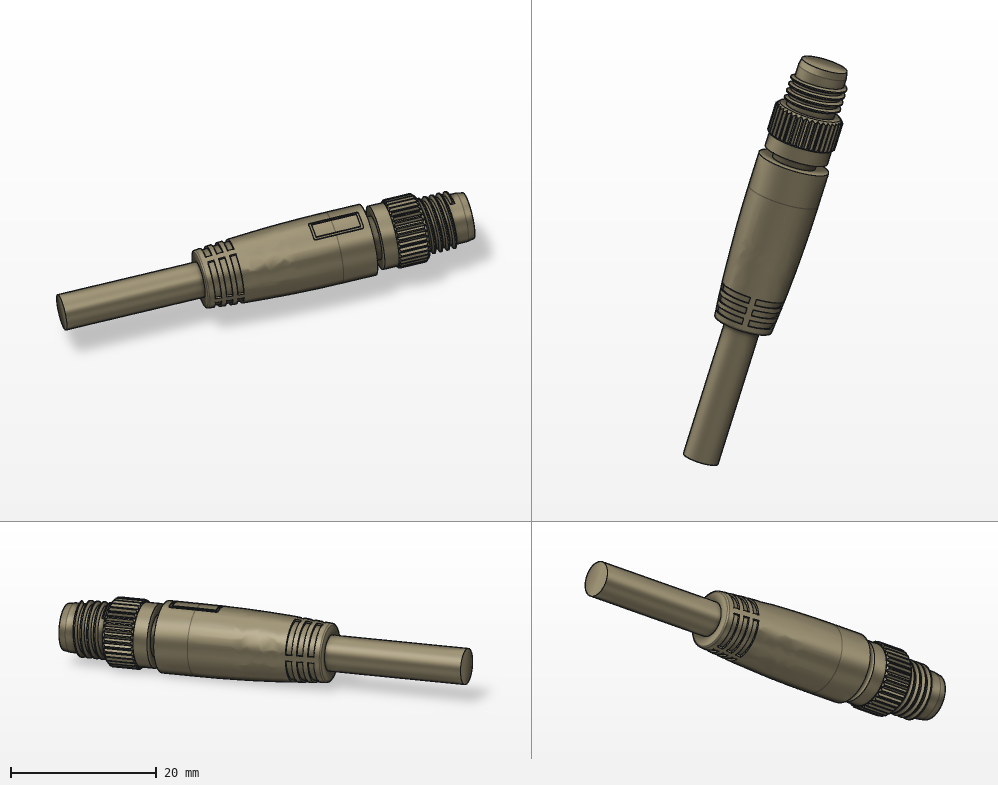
import cadquery as cq
import math

LENGTH = 58.2

BODY_REAR = 19.8
BODY_FRONT = 43.75
COLLAR_REAR = 44.95
KNURL_REAR = 46.95
KNURL_FRONT = 51.45
PLUG_CONE = LENGTH - 1.0

CABLE_RADIUS = 2.5
BODY_RADIUS = 5.0
BODY_REAR_RADIUS = 4.1
BODY_REAR_FILLET = 0.25
NECK_RADIUS = 3.1
COLLAR_RADIUS = 4.5
PLUG_RADIUS = 3.45
PLUG_TIP_RADIUS = 3.25

BODY_STRAIGHT = 4.9

KNURL_RADIUS = 4.85
KNURL_ROOT_RADIUS = 4.55
KNURL_FRONT_CHAMFER = 0.45
KNURL_REAR_CHAMFER = 0.3
TOOTH_COUNT = 36
TOOTH_PITCH = 360.0 / TOOTH_COUNT
TOOTH_TIP_SHARE = 0.2
TOOTH_ROOT_SHARE = 0.95

THREAD_RADIUS = 3.95
THREAD_PITCH = 1.0
THREAD_FULL_TURNS = 4
THREAD_EXTRA_ANGLE = 45.0
THREAD_FRONT = LENGTH - 2.2
THREAD_ROOT_WIDTH = 0.75
THREAD_CREST_WIDTH = 0.2

RELIEF_FIRST = BODY_REAR + 1.0
RELIEF_PITCH = 1.6
RELIEF_WIDTH = 0.9
RELIEF_COUNT = 3
RELIEF_DEPTH = 0.3
BAR_WIDTH = 0.9

FRAME_CENTER_Y = 39.3
FRAME_WIDTH = 2.9
FRAME_LENGTH = 7.1
FRAME_LINE = 0.35
FRAME_CORNER = 0.25
FRAME_DEPTH = 0.1

OVERLAP = 0.1


def revolve(profile):
    """Turn a closed half-profile (x = radius, y = station) about the Y axis."""
    return profile.revolve(360, (0, 0, 0), (0, 1, 0))


def cylinder(radius, start, end):
    return revolve(cq.Workplane("XY").moveTo(0, start).lineTo(radius, start).lineTo(radius, end)
                   .lineTo(0, end).close())


def tapered_body(inset):
    """Moulded body with its outer surface moved inwards by inset."""
    profile = (
        cq.Workplane("XY")
        .moveTo(0, BODY_FRONT)
        .lineTo(BODY_RADIUS - inset, BODY_FRONT)
        .lineTo(BODY_RADIUS - inset, BODY_FRONT - BODY_STRAIGHT)
        .tangentArcPoint((BODY_REAR_RADIUS - inset, BODY_REAR), relative=False)
        .lineTo(0, BODY_REAR)
        .close()
    )
    return revolve(profile)


def relief_grooves():
    """Ring grooves following the taper, left out where the four bars cross them."""
    skin = tapered_body(-OVERLAP).cut(tapered_body(RELIEF_DEPTH))
    across = 4 * BODY_RADIUS
    bars = cq.Workplane("XY").box(BAR_WIDTH, 2 * LENGTH, across)
    bars = bars.union(cq.Workplane("XY").box(across, 2 * LENGTH, BAR_WIDTH))
    rings = cq.Workplane("XY")
    for i in range(RELIEF_COUNT):
        start = RELIEF_FIRST + i * RELIEF_PITCH
        rings = rings.add(cylinder(2 * BODY_RADIUS, start, start + RELIEF_WIDTH))
    return rings.combine().intersect(skin).cut(bars)


def label_frame():
    """Shallow rectangular groove of constant depth on the +Z side of the body."""
    def block(margin):
        return (
            cq.Workplane("XY")
            .center(0, FRAME_CENTER_Y)
            .rect(FRAME_WIDTH - 2 * margin, FRAME_LENGTH - 2 * margin)
            .extrude(2 * BODY_RADIUS)
        )

    frame = block(0).edges("|Z").fillet(FRAME_CORNER).cut(block(FRAME_LINE))
    return frame.cut(tapered_body(FRAME_DEPTH))


def moulded_body():
    body = tapered_body(0).faces("<Y").edges().fillet(BODY_REAR_FILLET)
    return body.cut(relief_grooves()).cut(label_frame())


def knurl_outline():
    """Closed ring of trapezoidal teeth, looking along the axis."""
    half_tip = TOOTH_PITCH * TOOTH_TIP_SHARE / 2
    half_root = TOOTH_PITCH * TOOTH_ROOT_SHARE / 2
    corners = (
        (KNURL_ROOT_RADIUS, -half_root),
        (KNURL_RADIUS, -half_tip),
        (KNURL_RADIUS, half_tip),
        (KNURL_ROOT_RADIUS, half_root),
    )
    outline = []
    for i in range(TOOTH_COUNT):
        for radius, offset in corners:
            angle = math.radians(i * TOOTH_PITCH + offset)
            outline.append((radius * math.cos(angle), radius * math.sin(angle)))
    return outline


def knurled_nut():
    """Toothed ring with both ends chamfered."""
    plane = cq.Workplane("XZ", origin=(0, KNURL_FRONT, 0))
    teeth = plane.polyline(knurl_outline()).close().extrude(KNURL_FRONT - KNURL_REAR)
    envelope = revolve(
        cq.Workplane("XY")
        .moveTo(0, KNURL_REAR)
        .lineTo(KNURL_RADIUS - KNURL_REAR_CHAMFER, KNURL_REAR)
        .lineTo(KNURL_RADIUS, KNURL_REAR + KNURL_REAR_CHAMFER)
        .lineTo(KNURL_RADIUS, KNURL_FRONT - KNURL_FRONT_CHAMFER)
        .lineTo(KNURL_RADIUS - KNURL_FRONT_CHAMFER, KNURL_FRONT)
        .lineTo(0, KNURL_FRONT)
        .close()
    )
    return teeth.intersect(envelope)


def plug():
    profile = (
        cq.Workplane("XY")
        .moveTo(0, KNURL_FRONT - OVERLAP)
        .lineTo(PLUG_RADIUS, KNURL_FRONT - OVERLAP)
        .lineTo(PLUG_RADIUS, PLUG_CONE)
        .lineTo(PLUG_TIP_RADIUS, LENGTH)
        .lineTo(0, LENGTH)
        .close()
    )
    return revolve(profile)


def thread():
    """Helical ridge that starts at +Z near the tip and stops just short of the nut."""
    root = PLUG_RADIUS - OVERLAP
    height = THREAD_PITCH * (THREAD_FULL_TURNS + THREAD_EXTRA_ANGLE / 360)
    helix = cq.Wire.makeHelix(THREAD_PITCH, height, root)
    ridge = (
        cq.Workplane("XZ")
        .moveTo(root, -THREAD_ROOT_WIDTH / 2)
        .lineTo(THREAD_RADIUS, -THREAD_CREST_WIDTH / 2)
        .lineTo(THREAD_RADIUS, THREAD_CREST_WIDTH / 2)
        .lineTo(root, THREAD_ROOT_WIDTH / 2)
        .close()
        .sweep(cq.Workplane(helix), isFrenet=True)
    )
    upright = ridge.rotate((0, 0, 0), (0, 0, 1), 90)
    lying = upright.rotate((0, 0, 0), (1, 0, 0), -90)
    turned = lying.rotate((0, 0, 0), (0, 1, 0), 180 - THREAD_EXTRA_ANGLE)
    return turned.translate((0, THREAD_FRONT - height, 0))


cable = cylinder(CABLE_RADIUS, 0, BODY_REAR + OVERLAP)
neck = cylinder(NECK_RADIUS, BODY_FRONT - OVERLAP, COLLAR_REAR + OVERLAP)
collar = cylinder(COLLAR_RADIUS, COLLAR_REAR, KNURL_REAR + OVERLAP)

result = cable
for section in (moulded_body(), neck, collar, knurled_nut(), plug(), thread()):
    result = result.union(section)